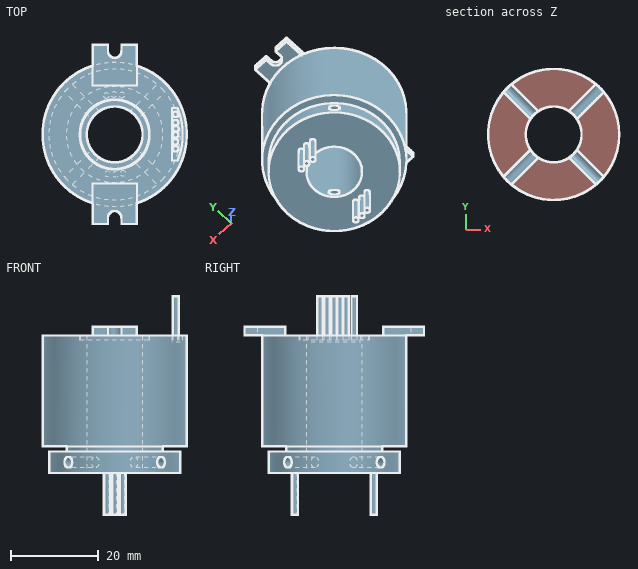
import cadquery as cq

housing_diameter = 33.0
housing_height = 25.34
end_cap_diameter = 31.1

bore_diameter = 12.7
rotor_diameter = 15.75
rotor_gap = 0.12
rotor_gap_depth = 1.0
neck_diameter = 22.0
neck_height = 1.1
flange_diameter = 30.0
flange_height = 5.0
set_screw_diameter = 2.5
set_screw_angles = (45.0, 135.0, 225.0, 315.0)

tab_width = 10.1
tab_thickness = 2.0
tab_outer_reach = 20.5
tab_inner_reach = 11.15
tab_slot_width = 3.0
tab_slot_depth = 3.0

wire_diameter = 1.3
wire_embedding = 1.0
upper_wire_length = 9.0
upper_wire_centers = (
    (13.92, 4.58),
    (13.86, 2.70),
    (13.98, 1.30),
    (13.92, -0.08),
    (13.86, -1.68),
    (13.92, -3.28),
)
wire_pocket_inner_x = 13.1
wire_pocket_width = 12.0
wire_pocket_depth = 1.5
lower_wire_length = 9.5
lower_wire_centers = (
    (-1.62, -9.0),
    (0.18, -9.12),
    (1.90, -8.88),
)

housing_bottom = -housing_height
flange_top = housing_bottom - neck_height
flange_bottom = flange_top - flange_height


def cylinder(diameter, bottom, top, center=(0, 0)):
    """Upright cylinder between two levels."""
    return cq.Workplane("XY", origin=(*center, bottom)).circle(diameter / 2).extrude(top - bottom)


def make_body():
    """Housing, neck and flange stacked on one axis."""
    housing = cylinder(housing_diameter, housing_bottom, 0)
    neck = cylinder(neck_diameter, flange_top, housing_bottom)
    flange = cylinder(flange_diameter, flange_bottom, flange_top)
    return housing.union(neck).union(flange)


def make_rotor_gap():
    """Thin ring-shaped gap between the rotor and the end cap."""
    outer = cylinder(rotor_diameter + 2 * rotor_gap, -rotor_gap_depth, 0)
    return outer.cut(cylinder(rotor_diameter, -rotor_gap_depth, 0))


def make_set_screw_hole(angle):
    """Radial hole from the flange rim into the bore, at mid-height of the flange."""
    hole = (
        cq.Workplane("YZ", origin=(0, 0, flange_bottom + flange_height / 2))
        .circle(set_screw_diameter / 2)
        .extrude(flange_diameter)
    )
    return hole.rotate((0, 0, 0), (0, 0, 1), angle)


def make_wire_pocket():
    """Segment-shaped recess at the +X edge of the end cap."""
    block_length = housing_diameter / 2 - wire_pocket_inner_x
    block = (
        cq.Workplane("XY", origin=(wire_pocket_inner_x, 0, -wire_pocket_depth))
        .box(block_length, wire_pocket_width, wire_pocket_depth, centered=(False, True, False))
    )
    return block.intersect(cylinder(end_cap_diameter, -wire_pocket_depth, 0))


def make_tab():
    """Flat tab on the +Y side with a round-ended slot open at its outer edge."""
    half_width = tab_width / 2
    slot_radius = tab_slot_width / 2
    slot_end = tab_outer_reach - tab_slot_depth
    return (
        cq.Workplane("XY")
        .moveTo(-half_width, tab_inner_reach)
        .lineTo(half_width, tab_inner_reach)
        .lineTo(half_width, tab_outer_reach)
        .lineTo(slot_radius, tab_outer_reach)
        .lineTo(slot_radius, slot_end + slot_radius)
        .threePointArc((0, slot_end), (-slot_radius, slot_end + slot_radius))
        .lineTo(-slot_radius, tab_outer_reach)
        .lineTo(-half_width, tab_outer_reach)
        .close()
        .extrude(tab_thickness)
    )


result = make_body()
result = result.cut(cylinder(bore_diameter, flange_bottom, 0))
result = result.cut(make_rotor_gap())
for screw_angle in set_screw_angles:
    result = result.cut(make_set_screw_hole(screw_angle))
result = result.cut(make_wire_pocket())

tab = make_tab()
result = result.union(tab).union(tab.mirror("XZ"))

upper_wire_root = -wire_pocket_depth - wire_embedding
for upper_center in upper_wire_centers:
    result = result.union(cylinder(wire_diameter, upper_wire_root, upper_wire_length, upper_center))

lower_wire_root = flange_bottom + wire_embedding
lower_wire_tip = flange_bottom - lower_wire_length
for x, y in lower_wire_centers:
    for side in (1, -1):
        lower_center = (side * x, side * y)
        result = result.union(cylinder(wire_diameter, lower_wire_tip, lower_wire_root, lower_center))